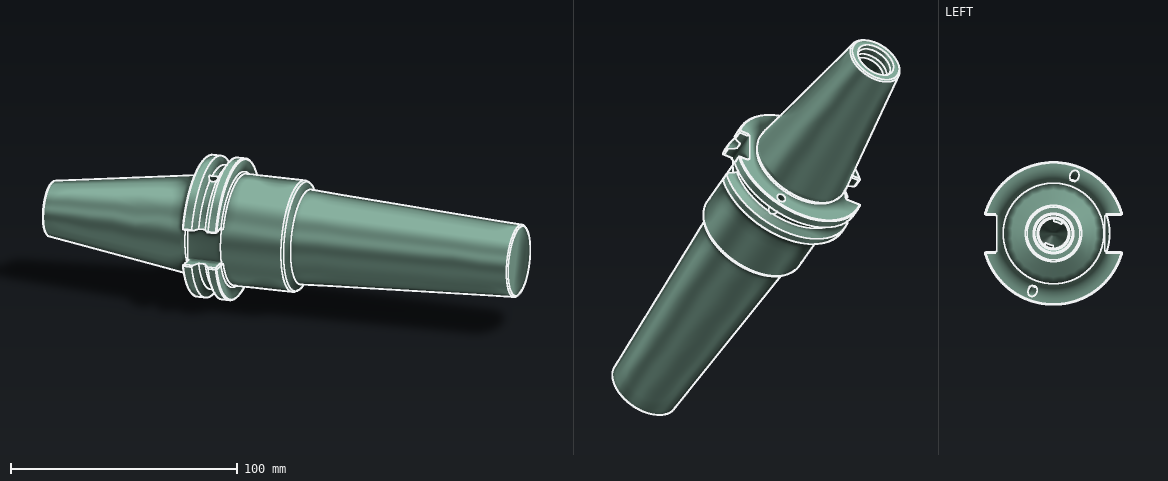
import cadquery as cq
import math

length = 218.2

taper_end = 67.9
gauge_radius = 22.3
taper_slope = 7 / 24 / 2
tail_radius = gauge_radius - taper_end * taper_slope
tail_chamfer = 0.7
gauge_band_end = 69.8
neck_radius = 21.5

flange_start = 71.4
flange_end = 87.3
flange_radius = 31.6
rim_chamfer = 0.5
groove_radius = 27.7
groove_start = 75.7
groove_floor_start = 77.7
groove_floor_end = 80.8
groove_end = 83.4

collar_radius = 24.9
collar_end = 116.5
collar_edge = 1.0
root_chamfer = 0.9
shoulder_foot = 118.0
shoulder_foot_radius = 22.0
nose_start = 118.7
nose_start_radius = 21.2
nose_end_radius = 16.2
nose_chamfer = 0.7

slot_width = 16.2
slot_chamfer = 0.7
slot_corner_radius = 0.7
front_slot_floor = 22.7
rear_slot_floor = 25.0

mouth_radius = 9.0
mouth_depth = 2.0
counterbore_radius = 8.3
counterbore_end = 5.2
thread_radius = 7.2
thread_start = 6.5
thread_end = 29.5
bore_radius = 6.5
bore_end = 97.5
drill_point_angle = math.radians(118)

coolant_channel_count = 2
coolant_diameter = 4.0
coolant_angle = 20.0
coolant_slope = math.radians(38)
coolant_port_radius = 27.0
coolant_end_radius = 5.7
plug_hole_position = 79.0


def revolve_about_x(points):
    """Solid of revolution of an (x, radius) outline about the X axis."""
    return cq.Workplane("XZ").polyline(points).close().revolve(360, (0, 0, 0), (1, 0, 0))


def body():
    return revolve_about_x([
        (0, 0),
        (0, tail_radius - tail_chamfer),
        (tail_chamfer, tail_radius + tail_chamfer * taper_slope),
        (taper_end, gauge_radius),
        (gauge_band_end, gauge_radius),
        (flange_start, neck_radius),
        (flange_start, flange_radius - rim_chamfer),
        (flange_start + rim_chamfer, flange_radius),
        (groove_start, flange_radius),
        (groove_floor_start, groove_radius),
        (groove_floor_end, groove_radius),
        (groove_end, flange_radius),
        (flange_end - rim_chamfer, flange_radius),
        (flange_end, flange_radius - rim_chamfer),
        (flange_end, collar_radius + root_chamfer),
        (flange_end + root_chamfer, collar_radius),
        (collar_end - collar_edge, collar_radius),
        (collar_end, collar_radius - collar_edge / 2),
        (shoulder_foot, shoulder_foot_radius),
        (nose_start, nose_start_radius),
        (length - nose_chamfer, nose_end_radius),
        (length, nose_end_radius - nose_chamfer),
        (length, 0),
    ])


def bore():
    bore_tip = bore_end + bore_radius / math.tan(drill_point_angle / 2)
    return revolve_about_x([
        (0, 0),
        (0, mouth_radius),
        (mouth_depth, counterbore_radius),
        (counterbore_end, counterbore_radius),
        (thread_start, thread_radius),
        (thread_end, thread_radius),
        (thread_end, bore_radius),
        (bore_end, bore_radius),
        (bore_tip, 0),
    ])


def drive_slot(side, floor):
    """Slot open towards side (+1 or -1) along Y, chamfered at the flange faces and at the rim."""
    half = slot_width / 2
    wide = half + slot_chamfer
    width = flange_end - flange_start
    slot = (
        cq.Workplane("XY")
        .box(width, flange_radius - floor, slot_width, centered=(False, False, True))
        .edges("|X and <Y")
        .fillet(slot_corner_radius)
        .translate((flange_start, floor, 0))
    )
    face_chamfers = (
        cq.Workplane("XZ", origin=(0, floor + slot_corner_radius, 0))
        .polyline([
            (flange_start, -wide),
            (flange_start + slot_chamfer, -half),
            (flange_end - slot_chamfer, -half),
            (flange_end, -wide),
            (flange_end, wide),
            (flange_end - slot_chamfer, half),
            (flange_start + slot_chamfer, half),
            (flange_start, wide),
        ])
        .close()
        .extrude(floor + slot_corner_radius - flange_radius)
    )
    rim_corner = math.sqrt(flange_radius**2 - wide**2)
    rim_chamfers = (
        cq.Workplane("YZ", origin=(flange_start, 0, 0))
        .polyline([
            (rim_corner - slot_chamfer, -half),
            (rim_corner, -wide),
            (flange_radius, -wide),
            (flange_radius, wide),
            (rim_corner, wide),
            (rim_corner - slot_chamfer, half),
        ])
        .close()
        .extrude(width)
    )
    collar_root = (
        cq.Workplane("XY")
        .box(root_chamfer, flange_radius, slot_width, centered=(False, False, True))
        .translate((flange_end, 0, 0))
        .cut(cq.Workplane("YZ", origin=(flange_end, 0, 0)).circle(collar_radius).extrude(root_chamfer))
    )
    slot = slot.union(face_chamfers).union(rim_chamfers).union(collar_root)
    return slot if side > 0 else slot.mirror("XZ")


def coolant_channel(turn):
    """Channel sloping from the flange face down to the bore, met by a radial hole from the groove."""
    direction = cq.Vector(math.cos(coolant_slope), 0, -math.sin(coolant_slope))
    port = cq.Vector(flange_start, 0, coolant_port_radius)
    start = port - direction * coolant_diameter
    reach = coolant_diameter + (coolant_port_radius - coolant_end_radius) / math.sin(coolant_slope)
    channel = cq.Workplane(cq.Solid.makeCylinder(coolant_diameter / 2, reach, start, direction))
    plug_hole_end = coolant_port_radius - (plug_hole_position - flange_start) * math.tan(coolant_slope)
    plug_hole = (
        cq.Workplane("XY", origin=(plug_hole_position, 0, plug_hole_end))
        .circle(coolant_diameter / 2)
        .extrude(flange_radius - plug_hole_end)
    )
    return channel.union(plug_hole).rotate((0, 0, 0), (1, 0, 0), turn)


result = body().cut(bore())
result = result.cut(drive_slot(-1, front_slot_floor)).cut(drive_slot(1, rear_slot_floor))
for index in range(coolant_channel_count):
    result = result.cut(coolant_channel(coolant_angle + index * 360 / coolant_channel_count))